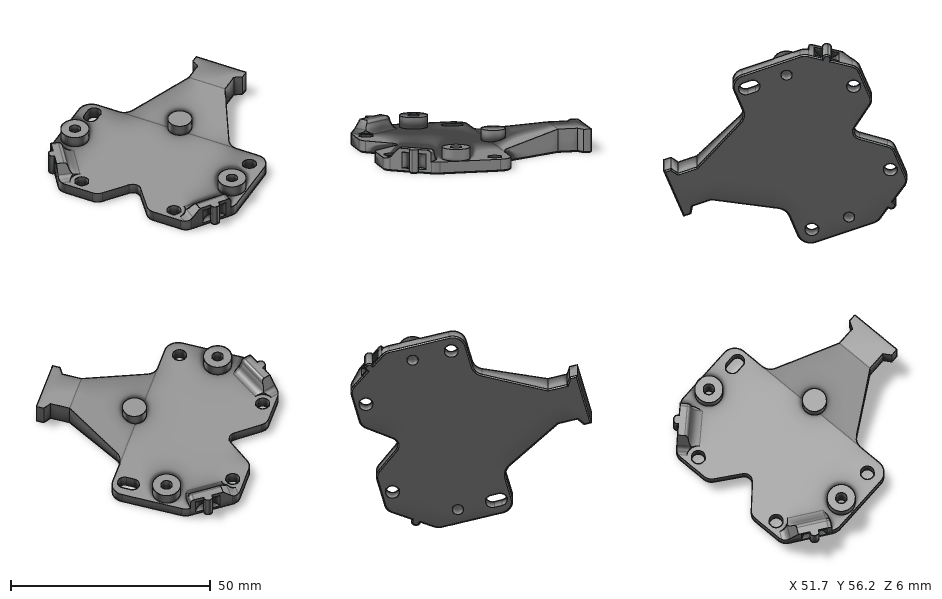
import cadquery as cq
import math

TOTAL_WIDTH = 51.7
TOTAL_LENGTH = 56.15
TOTAL_HEIGHT = 6.0
PLATE_THICKNESS = 3.1
BOTTOM_CHAMFER = 0.35

HALF_WIDTH = TOTAL_WIDTH / 2
FRONT_Y = -31.45
SLANT_START_Y = -20.2
SLANT_END_X = 17.7
NOTCH_HALF_WIDTH = 7.1
NOTCH_APEX_Y = -22.6
SIDE_RADIUS = 3.5
FRONT_RADIUS = 3.0
NOTCH_RADIUS = 2.0

ARM_ROOT_HALF_WIDTH = 14.4
NECK_HALF_WIDTH = 5.05
TAIL_HALF_WIDTH = 6.95
TAIL_END_Y = TOTAL_LENGTH + FRONT_Y
TAIL_EDGE_LENGTH = 1.95
TAIL_HEAD_LENGTH = 3.15
TAIL_LENGTH = 8.15
NECK_START_Y = TAIL_END_Y - TAIL_LENGTH

PIN_Y = 1.1
PIN_RADIUS = 3.05
SIDE_HOLE_X = 21.9
BOSS_Y = -14.0
BOSS_RADIUS = 3.55
BOSS_HOLE_RADIUS = 1.4
BACK_HOLE_Y = -4.0
SLOT_LENGTH = 5.5
FRONT_HOLE_X = 12.85
FRONT_HOLE_Y = -28.5
HOLE_RADIUS = 1.75
CLEARANCE_RADIUS = 2.9

BLOCK_START_U = 1.25
BLOCK_FOOT_V = 5.65
BLOCK_HOLLOW_RADIUS = 3.0
BLOCK_EDGE_RADIUS = 1.0
RAMP_START_U = 9.95
RAMP_ANGLE = math.radians(45)

RIB_U = 5.85
RIB_WIDTH = 2.25
RIB_HEIGHT = 1.3
RIB_EDGE_RADIUS = 1.0
CHANNEL_WIDTH = 6.5
CHANNEL_DEPTH = 2.25
CHANNEL_BOTTOM = 1.0
CHANNEL_TOP = 5.0

slant_x = HALF_WIDTH - SLANT_END_X
slant_y = FRONT_Y - SLANT_START_Y
slant_length = math.hypot(slant_x, slant_y)
ALONG = cq.Vector(slant_x / slant_length, slant_y / slant_length, 0)
INWARD = cq.Vector(-ALONG.y, ALONG.x, 0)
SLANT_ORIGIN = cq.Vector(-HALF_WIDTH, SLANT_START_Y, 0)

plan_plane = cq.Plane(SLANT_ORIGIN, xDir=ALONG, normal=(0, 0, 1))
section_plane = cq.Plane(SLANT_ORIGIN, xDir=INWARD, normal=ALONG)
length_plane = cq.Plane(SLANT_ORIGIN, xDir=ALONG, normal=INWARD * -1)


def both_sides(solid):
    """The solid together with its mirror image across X = 0."""
    return solid.union(solid.mirror("YZ"))


def cylinder(x, y, radius, bottom=0.0):
    """Upright cylinder reaching the top of the part."""
    height = TOTAL_HEIGHT - bottom
    return cq.Workplane("XY", origin=(x, y, bottom)).circle(radius).extrude(height)


def outline_block():
    """Full-height block with the outline of plate, arm and ribs, chamfered underneath."""
    rounded_corners = [
        (ARM_ROOT_HALF_WIDTH, 0, SIDE_RADIUS),
        (HALF_WIDTH, 0, SIDE_RADIUS),
        (HALF_WIDTH, SLANT_START_Y, SIDE_RADIUS),
        (SLANT_END_X, FRONT_Y, FRONT_RADIUS),
        (NOTCH_HALF_WIDTH, FRONT_Y, FRONT_RADIUS),
    ]
    right_side = [
        (TAIL_HALF_WIDTH, TAIL_END_Y),
        (TAIL_HALF_WIDTH, TAIL_END_Y - TAIL_EDGE_LENGTH),
        (NECK_HALF_WIDTH, TAIL_END_Y - TAIL_HEAD_LENGTH),
        (NECK_HALF_WIDTH, NECK_START_Y),
    ] + [(x, y) for x, y, radius in rounded_corners]
    left_side = [(-x, y) for x, y in reversed(right_side)]
    outline = right_side + [(0, NOTCH_APEX_Y)] + left_side
    block = cq.Workplane("XY").polyline(outline).close().extrude(TOTAL_HEIGHT)

    def round_edge(solid, x, y, radius):
        corner = cq.selectors.NearestToPointSelector((x, y, TOTAL_HEIGHT / 2))
        return solid.edges("|Z").edges(corner).fillet(radius)

    block = round_edge(block, 0, NOTCH_APEX_Y, NOTCH_RADIUS)
    for x, y, radius in rounded_corners:
        block = round_edge(block, x, y, radius)
        block = round_edge(block, -x, y, radius)

    rib = (
        cq.Workplane(plan_plane)
        .center(RIB_U, 0)
        .rect(RIB_WIDTH, 2 * RIB_HEIGHT)
        .extrude(TOTAL_HEIGHT)
        .edges("|Z")
        .fillet(RIB_EDGE_RADIUS)
    )
    block = block.union(both_sides(rib))
    return block.faces("<Z").chamfer(BOTTOM_CHAMFER)


def plate_and_wedge():
    """Side profile of the plate and the arm, wider than the part."""
    return (
        cq.Workplane("YZ")
        .moveTo(2 * FRONT_Y, 0)
        .lineTo(TAIL_END_Y, 0)
        .lineTo(TAIL_END_Y, TOTAL_HEIGHT)
        .lineTo(NECK_START_Y, TOTAL_HEIGHT)
        .lineTo(0, PLATE_THICKNESS)
        .lineTo(2 * FRONT_Y, PLATE_THICKNESS)
        .close()
        .extrude(2 * HALF_WIDTH, both=True)
    )


def clip_block():
    """Left clip block, reaching outward past the rib."""
    outer_v = -2 * RIB_HEIGHT
    slope_foot_u = RAMP_START_U + (TOTAL_HEIGHT - PLATE_THICKNESS) / math.tan(RAMP_ANGLE)
    foot_tangent = BLOCK_HOLLOW_RADIUS * math.tan(RAMP_ANGLE / 2)
    block_end_u = slope_foot_u + foot_tangent
    hollow_centre_z = PLATE_THICKNESS + BLOCK_HOLLOW_RADIUS

    def hollow_v(z):
        """Inward position of the concave wall at height z."""
        return BLOCK_FOOT_V - math.sqrt(BLOCK_HOLLOW_RADIUS**2 - (hollow_centre_z - z) ** 2)

    middle_z = (PLATE_THICKNESS + TOTAL_HEIGHT) / 2
    block = (
        cq.Workplane(section_plane)
        .workplane(offset=BLOCK_START_U)
        .moveTo(outer_v, 0)
        .lineTo(BLOCK_FOOT_V, 0)
        .lineTo(BLOCK_FOOT_V, PLATE_THICKNESS)
        .threePointArc((hollow_v(middle_z), middle_z), (hollow_v(TOTAL_HEIGHT), TOTAL_HEIGHT))
        .lineTo(outer_v, TOTAL_HEIGHT)
        .close()
        .extrude(block_end_u - BLOCK_START_U)
    )

    def at(u, v, z):
        """Selects the edge nearest to a point of the slanted corner's frame."""
        return cq.selectors.NearestToPointSelector(plan_plane.toWorldCoords((u, v, z)).toTuple())

    block = block.edges(at((BLOCK_START_U + block_end_u) / 2, hollow_v(TOTAL_HEIGHT), TOTAL_HEIGHT))
    block = block.fillet(BLOCK_EDGE_RADIUS)
    block = block.edges(at(BLOCK_START_U, 0, TOTAL_HEIGHT)).fillet(BLOCK_EDGE_RADIUS)

    ramp_profile = (
        cq.Workplane(length_plane)
        .lineTo(block_end_u, 0)
        .lineTo(block_end_u, PLATE_THICKNESS)
        .threePointArc(
            (
                block_end_u - BLOCK_HOLLOW_RADIUS * math.sin(RAMP_ANGLE / 2),
                hollow_centre_z - BLOCK_HOLLOW_RADIUS * math.cos(RAMP_ANGLE / 2),
            ),
            (
                block_end_u - BLOCK_HOLLOW_RADIUS * math.sin(RAMP_ANGLE),
                hollow_centre_z - BLOCK_HOLLOW_RADIUS * math.cos(RAMP_ANGLE),
            ),
        )
        .lineTo(RAMP_START_U, TOTAL_HEIGHT)
        .lineTo(0, TOTAL_HEIGHT)
        .close()
        .extrude(2 * BLOCK_FOOT_V, both=True)
    )
    return block.intersect(ramp_profile)


def tie_channel():
    """Arc-backed pocket behind the rib of the left block."""
    return (
        cq.Workplane(plan_plane)
        .workplane(offset=CHANNEL_BOTTOM)
        .moveTo(RIB_U - CHANNEL_WIDTH / 2, 0)
        .threePointArc((RIB_U, CHANNEL_DEPTH), (RIB_U + CHANNEL_WIDTH / 2, 0))
        .close()
        .extrude(CHANNEL_TOP - CHANNEL_BOTTOM)
    )


clearance = cylinder(-FRONT_HOLE_X, FRONT_HOLE_Y, CLEARANCE_RADIUS, PLATE_THICKNESS)
clips = both_sides(clip_block().cut(clearance))
result = outline_block().intersect(plate_and_wedge().union(clips))
result = result.cut(both_sides(tie_channel()))

boss_root = PLATE_THICKNESS / 2
result = result.union(cylinder(0, PIN_Y, PIN_RADIUS, boss_root))
result = result.union(both_sides(cylinder(SIDE_HOLE_X, BOSS_Y, BOSS_RADIUS, boss_root)))

result = result.cut(both_sides(cylinder(SIDE_HOLE_X, BOSS_Y, BOSS_HOLE_RADIUS)))
result = result.cut(both_sides(cylinder(FRONT_HOLE_X, FRONT_HOLE_Y, HOLE_RADIUS)))
result = result.cut(cylinder(SIDE_HOLE_X, BACK_HOLE_Y, HOLE_RADIUS))
slot = (
    cq.Workplane("XY", origin=(-SIDE_HOLE_X, BACK_HOLE_Y, 0))
    .slot2D(SLOT_LENGTH, 2 * HOLE_RADIUS, angle=90)
    .extrude(TOTAL_HEIGHT)
)
result = result.cut(slot)